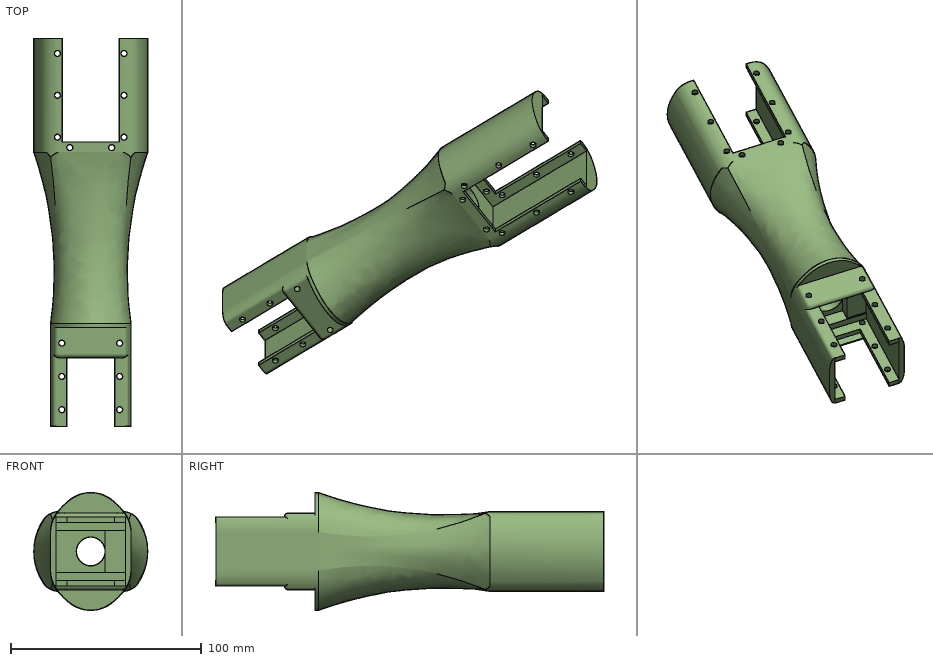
import cadquery as cq
import math

LIP_OVERHANG = 0.2
FRONT_FORK_LENGTH = 36.0
PAD_LENGTH = 16.0
FLANGE_THICKNESS = 2.0
NECK_LENGTH = 90.0
REAR_FORK_LENGTH = 60.0
PAD_START = FRONT_FORK_LENGTH
FLANGE_START = PAD_START + PAD_LENGTH
NECK_START = FLANGE_START + FLANGE_THICKNESS
REAR_START = NECK_START + NECK_LENGTH
TOTAL_LENGTH = REAR_START + REAR_FORK_LENGTH

FRONT_HALF_WIDTH = 21.2
FLANGE_HALF_HEIGHT = 31.0
SEAM_HEIGHT = 10.2
SHOULDER_RADIUS = 17.0
FORK_HALF_HEIGHT = 18.2
PAD_RISE = 2.0
PAD_HALF_HEIGHT = FORK_HALF_HEIGHT + PAD_RISE
EDGE_FILLET = 2.0
WALL = 3.0

FRONT_SLOT_HALF_WIDTH = 12.5
FRONT_SLOT_DEPTH = 40.0
FRONT_CAVITY_DEPTH = 45.5
RECESS_HALF_HEIGHT = 11.0
RECESS_DEPTH = 46.2
BORE_DIAMETER = 15.0

REAR_RADIUS = 30.0
REAR_HALF_HEIGHT = 21.0
REAR_FILLET = 10.0
REAR_SLOT_HALF_WIDTH = 14.9
REAR_SLOT_DEPTH = 54.5
REAR_CAVITY_HALF_WIDTH = 20.5

SIDE_BOW = 5.5
CROWN_BOW = 5.6
SEAM_WIDTH_BOW = 3.1
SEAM_HEIGHT_BOW = 6.9
NECK_STATIONS = 7
FILLET_RUNOUT = 6.0

SCREW_DIAMETER = 3.0
FRONT_SCREW_X = 15.2
FRONT_SCREW_PITCH = 17.5
FRONT_SCREW_START = 8.7
REAR_SCREW_X = 17.5
REAR_SCREW_PITCH = 22.0
REAR_SCREW_START = 8.0
BRIDGE_SCREW_X = 11.0
BRIDGE_SCREW_FROM_END = 57.5
SCREWS_PER_ROW = 3

SHOULDER_SWEEP = math.radians(45)
DIAGONAL = math.sqrt(0.5)
SHOULDER_X = FRONT_HALF_WIDTH - SHOULDER_RADIUS
SHOULDER_POINT = (
    SHOULDER_X + SHOULDER_RADIUS * DIAGONAL,
    SEAM_HEIGHT + SHOULDER_RADIUS * DIAGONAL,
)
DIAGONAL_SUM = sum(SHOULDER_POINT)
CROWN_RADIUS = (DIAGONAL_SUM - FLANGE_HALF_HEIGHT) / (2 * DIAGONAL - 1)
CROWN_X = CROWN_RADIUS * DIAGONAL
CROWN_POINT = (CROWN_X, DIAGONAL_SUM - CROWN_X)


def section_plane(y):
    """XZ plane at the given Y; extruding a positive length goes toward +Y."""
    return cq.Workplane(cq.Plane((0, y, 0), xDir=(-1, 0, 0), normal=(0, 1, 0)))


def block(x_min, x_max, y_min, y_max, half_height):
    """Box centred on Z = 0."""
    size_x = x_max - x_min
    size_y = y_max - y_min
    return (
        cq.Workplane("XY")
        .box(size_x, size_y, 2 * half_height)
        .translate(((x_min + x_max) / 2, (y_min + y_max) / 2, 0))
    )


def flange_profile(y_start, length):
    """Full flange cross-section, extruded from y_start toward the rear."""
    arc_angle = SHOULDER_SWEEP / 2
    mid_x = SHOULDER_X + SHOULDER_RADIUS * math.cos(arc_angle)
    mid_z = SEAM_HEIGHT + SHOULDER_RADIUS * math.sin(arc_angle)
    shoulder_x, shoulder_z = SHOULDER_POINT
    crown_x, crown_z = CROWN_POINT
    return (
        section_plane(y_start)
        .moveTo(FRONT_HALF_WIDTH, -SEAM_HEIGHT)
        .lineTo(FRONT_HALF_WIDTH, SEAM_HEIGHT)
        .threePointArc((mid_x, mid_z), (shoulder_x, shoulder_z))
        .lineTo(crown_x, crown_z)
        .threePointArc((0, FLANGE_HALF_HEIGHT), (-crown_x, crown_z))
        .lineTo(-shoulder_x, shoulder_z)
        .threePointArc((-mid_x, mid_z), (-FRONT_HALF_WIDTH, SEAM_HEIGHT))
        .lineTo(-FRONT_HALF_WIDTH, -SEAM_HEIGHT)
        .threePointArc((-mid_x, -mid_z), (-shoulder_x, -shoulder_z))
        .lineTo(-crown_x, -crown_z)
        .threePointArc((0, -FLANGE_HALF_HEIGHT), (crown_x, -crown_z))
        .lineTo(shoulder_x, -shoulder_z)
        .threePointArc((mid_x, -mid_z), (FRONT_HALF_WIDTH, -SEAM_HEIGHT))
        .close()
        .extrude(length)
    )


def trimmed_profile(y_start, length, half_height):
    """Flange cross-section cut flat at +/- half_height, with its long edges rounded."""
    limit = block(-FRONT_HALF_WIDTH, FRONT_HALF_WIDTH, y_start, y_start + length, half_height)
    body = flange_profile(y_start, length).intersect(limit)
    return body.faces(">Z or <Z").edges("|Y").fillet(EDGE_FILLET)


def make_front():
    """Flange, pad and the solid envelope of the front fork."""
    fork = trimmed_profile(0, FLANGE_START, FORK_HALF_HEIGHT)
    pad = trimmed_profile(PAD_START, PAD_LENGTH, PAD_HALF_HEIGHT)
    pad = pad.faces("<Y").edges(">Z or <Z").fillet(EDGE_FILLET)
    lip_half_width = FRONT_HALF_WIDTH - WALL
    lips = block(-lip_half_width, lip_half_width, -LIP_OVERHANG, 0, FORK_HALF_HEIGHT)
    flange = flange_profile(FLANGE_START, FLANGE_THICKNESS)
    return fork.union(lips).union(pad).union(flange)


def rear_profile(y_start, length):
    """Rear fork cross-section: a round bar with flats and rounded edges."""
    bar = section_plane(y_start).circle(REAR_RADIUS).extrude(length)
    limit = block(-REAR_RADIUS, REAR_RADIUS, y_start, y_start + length, REAR_HALF_HEIGHT)
    return bar.intersect(limit).faces(">Z or <Z").edges("|Y").fillet(REAR_FILLET)


def guide(rear, front, bow, t):
    """Bowed guide curve from rear (t = 0) to front (t = 1); the sag is a parabola, deepest at t = 0.5."""
    return rear + (front - rear) * t - 4 * bow * t * (1 - t)


def neck_wire(t):
    """Closed neck section: curves bulging at the sides, splines over the top and bottom."""
    rear_seam_x = math.sqrt(REAR_RADIUS**2 - REAR_HALF_HEIGHT**2)
    side = guide(REAR_RADIUS, FRONT_HALF_WIDTH, SIDE_BOW, t)
    crown = guide(REAR_HALF_HEIGHT, FLANGE_HALF_HEIGHT, CROWN_BOW, t)
    seam_x = guide(rear_seam_x, FRONT_HALF_WIDTH, SEAM_WIDTH_BOW, t)
    seam_z = guide(REAR_HALF_HEIGHT, SEAM_HEIGHT, SEAM_HEIGHT_BOW, t)
    y = REAR_START - NECK_LENGTH * t

    def scaled(point):
        """Flange outline point, stretched to fit between this section's seams and crown."""
        x, z = point
        rise = (z - SEAM_HEIGHT) / (FLANGE_HALF_HEIGHT - SEAM_HEIGHT)
        return x / FRONT_HALF_WIDTH * seam_x, seam_z + rise * (crown - seam_z)

    half = [(seam_x, seam_z), scaled(SHOULDER_POINT), scaled(CROWN_POINT)]
    mirrored = [(-x, z) for x, z in reversed(half)]
    over = half + [(0, crown)] + mirrored
    top = [cq.Vector(x, y, z) for x, z in over]
    bottom = [cq.Vector(-x, y, -z) for x, z in over]
    left = cq.Edge.makeSpline([top[-1], cq.Vector(-side, y, 0), bottom[0]])
    right = cq.Edge.makeSpline([bottom[-1], cq.Vector(side, y, 0), top[0]])
    return cq.Wire.assembleEdges(
        [cq.Edge.makeSpline(top), left, cq.Edge.makeSpline(bottom), right]
    )


def make_neck():
    """Waisted neck, with the rear fork's rounded edges running out over its corners."""
    last = NECK_STATIONS - 1
    wires = [neck_wire(i / last) for i in range(NECK_STATIONS)]
    neck = cq.Workplane(cq.Solid.makeLoft(wires))
    runout_start = REAR_START - FILLET_RUNOUT
    corners = block(
        -REAR_RADIUS, REAR_RADIUS, runout_start, REAR_START, REAR_RADIUS
    ).cut(rear_profile(runout_start, FILLET_RUNOUT))
    return neck.cut(corners)


def cut_front_fork(body):
    """Open slot, cavity, recess and offset pocket, each reaching deeper than the last."""
    cavity_half_width = FRONT_HALF_WIDTH - WALL
    cavity_half_height = FORK_HALF_HEIGHT - WALL
    start = -LIP_OVERHANG
    slot = block(
        -FRONT_SLOT_HALF_WIDTH, FRONT_SLOT_HALF_WIDTH, start, FRONT_SLOT_DEPTH, FORK_HALF_HEIGHT
    )
    cavity = block(
        -cavity_half_width, cavity_half_width, start, FRONT_CAVITY_DEPTH, cavity_half_height
    )
    recess = block(
        -cavity_half_width, cavity_half_width, start, RECESS_DEPTH, RECESS_HALF_HEIGHT
    )
    pocket = block(
        -cavity_half_width, BORE_DIAMETER / 2, start, FLANGE_START, RECESS_HALF_HEIGHT
    )
    return body.cut(slot).cut(cavity).cut(recess).cut(pocket)


def cut_rear_fork(body):
    """Cavity and open slot of the rear fork."""
    slot_start = TOTAL_LENGTH - REAR_SLOT_DEPTH
    cavity = block(
        -REAR_CAVITY_HALF_WIDTH,
        REAR_CAVITY_HALF_WIDTH,
        REAR_START,
        TOTAL_LENGTH,
        REAR_HALF_HEIGHT - WALL,
    )
    slot = block(
        -REAR_SLOT_HALF_WIDTH, REAR_SLOT_HALF_WIDTH, slot_start, TOTAL_LENGTH, REAR_HALF_HEIGHT
    )
    return body.cut(cavity).cut(slot)


def drill(body):
    """Lengthwise bore, and the vertical screw holes through both faces of each fork."""
    bore = section_plane(0).circle(BORE_DIAMETER / 2).extrude(TOTAL_LENGTH)
    centres = []
    for side in (-1, 1):
        for i in range(SCREWS_PER_ROW):
            front_y = FRONT_SCREW_START + i * FRONT_SCREW_PITCH
            rear_y = TOTAL_LENGTH - REAR_SCREW_START - i * REAR_SCREW_PITCH
            centres.append((side * FRONT_SCREW_X, front_y))
            centres.append((side * REAR_SCREW_X, rear_y))
        centres.append((side * BRIDGE_SCREW_X, TOTAL_LENGTH - BRIDGE_SCREW_FROM_END))
    screws = (
        cq.Workplane("XY")
        .pushPoints(centres)
        .circle(SCREW_DIAMETER / 2)
        .extrude(FLANGE_HALF_HEIGHT, both=True)
    )
    return body.cut(bore).cut(screws)


rear_fork = rear_profile(REAR_START, REAR_FORK_LENGTH)
envelope = rear_fork.union(make_neck()).union(make_front())
result = drill(cut_rear_fork(cut_front_fork(envelope)))